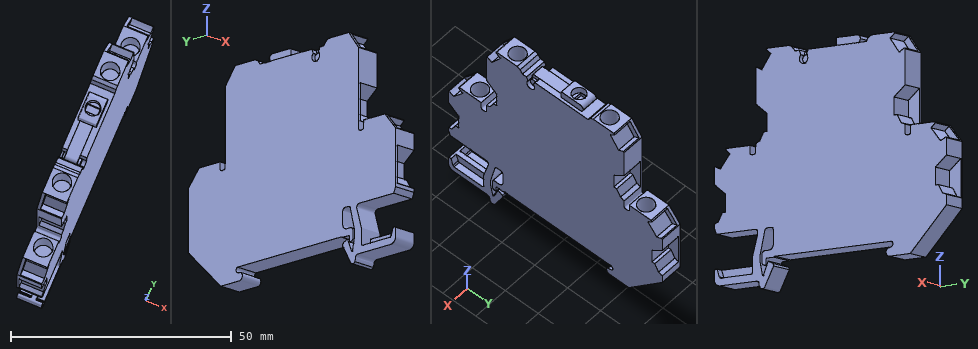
import cadquery as cq
WIDTH = 6.1
SIDE = WIDTH / 2
LENGTH = 65.0
END = LENGTH / 2
TOP_Z = 55.25
DECK_Z = 53.8
SHELF_Z = 33.4
BELLY_Z = 13.9
RAIL_Z = 7.15

UPPER_END = 20.9
UPPER_RUN = 3.1
UPPER_DROP = 4.3
LOWER_RUN = 3.4
LOWER_DROP = 4.1
SLOT_WIDTH = 1.55
SLOT_FLOOR_Z = 31.2
SLOT_RADIUS = 0.45
DECK_TOP_END = 11.6
DECK_FLANK = (10.65, 54.8)
DECK_END = 9.95

SCREW_HOLE_DIA = 4.35
SCREW_HOLE_DEPTH = 7.8
UPPER_HOLE_Y, UPPER_HOLE_X = 14.0, 0.2
LOWER_HOLE_Y, LOWER_HOLE_X = 25.2, 0.4

MARKER_WALL = 0.85
MARKER_BROW = 0.3
MARKER_INNER_DROP = 1.35
MARKER_DEPTH = 2.1
MARKER_TROUGH = 1.7
MARKER_LIP_RISE = 0.45
MARKER_LIP_INNER = 1.05
MARKER_LIP_EDGE = 0.2

ENTRY_WALL = 0.6
ENTRY_DEPTH = 3.1
UPPER_ENTRY_Z = 42.7
LOWER_ENTRY_Z = 25.35
ENTRY_ROOF = 2.5
ENTRY_BACK = 4.1
ENTRY_RAMP = 2.0
ENTRY_SILL = 0.45
ENTRY_LEDGE = 0.85
ENTRY_SILL_RUN = 1.1

POST_OUTER_Y = -21.8
TRAY_FLOOR_Z = 3.7
TRAY_TOP_Z = 5.9
TRAY_BOTTOM_Z = 1.95
TRAY_CORNER_RADIUS = 1.55
TRAY_LIP_Y = -31.65
TRAY_RIB = 1.3
ROOT_OVERLAP = 0.65

PIVOT_Y, PIVOT_Z = -7.5, 51.8
PIN_RADIUS = 1.0
PIN_LENGTH = 4.4
SOCKET_RADIUS = 1.2
THROAT_HALF = 0.8
THROAT_Z = PIVOT_Z + 0.9
MOUTH_HALF = 1.25
BAR_WIDTH = 3.2
LEVER_X = -0.1
BAR_BOTTOM_Z = PIVOT_Z - PIN_RADIUS
BAR_NOSE_Y = -8.45
BAR_NOSE_RADIUS = 0.85
BAR_TAIL_Y = 7.35
KNOB_WIDTH = 4.55
KNOB_TOP_Z = 55.85
KNOB_FRONT_Y = 1.05
KNOB_BACK_Y = 7.85
KNOB_EDGE_RADIUS = 0.3
KNOB_HOLE_Y = 4.5
KNOB_HOLE_DIA = 3.6
NOTCH_LENGTH = 1.8
NOTCH_DEPTH = 1.0


def across(outline, x_start=-SIDE, x_end=SIDE):
    """Extrude a closed YZ outline from x_start to x_end."""
    return outline.extrude(x_end - x_start).translate((x_start, 0, 0))


def yz(y, z):
    """Start an outline in the YZ plane."""
    return cq.Workplane("YZ").moveTo(y, z)


def block_side(side):
    """Points of one stepped end, from the deck out to the lower corner."""
    points = [
        (DECK_END, DECK_Z),
        DECK_FLANK,
        (DECK_TOP_END, TOP_Z),
        (UPPER_END - UPPER_RUN, TOP_Z),
        (UPPER_END, TOP_Z - UPPER_DROP),
        (UPPER_END, SLOT_FLOOR_Z),
        (UPPER_END + SLOT_WIDTH, SLOT_FLOOR_Z),
        (UPPER_END + SLOT_WIDTH, SHELF_Z),
        (END - LOWER_RUN, SHELF_Z),
        (END, SHELF_Z - LOWER_DROP),
    ]
    return [(side * y, z) for y, z in points]


def terminal_block():
    """Stepped upper part, down to the underside of the lower terminals."""
    right = block_side(-1)
    left = block_side(1)
    corner = [(-END, 15.35), (-31.9, BELLY_Z), (END, BELLY_Z)]
    outline = cq.Workplane("YZ").polyline(right + corner + left[::-1]).close()
    block = across(outline)
    for side in (-1, 1):
        slot_y = side * (UPPER_END + SLOT_WIDTH / 2)
        slot_floor = cq.selectors.BoxSelector(
            (-WIDTH, slot_y - SLOT_WIDTH, SLOT_FLOOR_Z - SLOT_RADIUS),
            (WIDTH, slot_y + SLOT_WIDTH, SLOT_FLOOR_Z + SLOT_RADIUS),
        )
        block = block.edges("|X").edges(slot_floor).fillet(SLOT_RADIUS)
    return block


def rail_base():
    """Lower part with the fixed rail hook (+Y) and the claw that faces the clip (-Y)."""
    outline = (
        yz(END, BELLY_Z)
        .lineTo(22.35, 3.8)
        .lineTo(16.4, 3.8)
        .threePointArc((15.55, 4.8), (16.1, 5.7))
        .lineTo(17.0, 5.85)
        .threePointArc((17.5, 6.45), (17.0, RAIL_Z))
        .lineTo(-15.5, RAIL_Z)
        .lineTo(-15.8, 6.95)
        .lineTo(-17.7, 6.95)
        .threePointArc((-17.9, 6.9), (-18.0, 6.6))
        .lineTo(-18.0, 5.4)
        .lineTo(-18.4, 5.4)
        .threePointArc((-18.9, 5.6), (-19.1, 6.1))
        .lineTo(-19.1, 8.05)
        .threePointArc((-18.85, 8.5), (-18.25, 8.7))
        .lineTo(-17.3, 8.7)
        .threePointArc((-16.4, 9.05), (-15.9, 9.9))
        .lineTo(-15.9, 13.05)
        .threePointArc((-16.1, 13.65), (-16.7, BELLY_Z))
        .lineTo(-16.7, BELLY_Z + ROOT_OVERLAP)
        .lineTo(END, BELLY_Z + ROOT_OVERLAP)
        .close()
    )
    return across(outline)


def clip_foot():
    """Springy post with the catch arm on its inner side and the release tray outside."""
    outline = (
        yz(-17.6, BELLY_Z)
        .threePointArc((-18.15, 13.65), (-18.4, 13.05))
        .lineTo(-19.6, 7.9)
        .lineTo(-19.6, 6.25)
        .lineTo(-19.0, 3.05)
        .lineTo(-18.7, 3.05)
        .lineTo(-17.4, 6.25)
        .lineTo(-16.0, 5.5)
        .lineTo(-15.85, 4.95)
        .lineTo(-18.3, 0.4)
        .threePointArc((-19.05, 0), (-19.75, 0.3))
        .lineTo(-19.95, 1.1)
        .threePointArc((-20.15, 1.7), (-20.75, TRAY_BOTTOM_Z))
        .lineTo(-30.95, TRAY_BOTTOM_Z)
        .radiusArc((-END, TRAY_BOTTOM_Z + TRAY_CORNER_RADIUS), TRAY_CORNER_RADIUS)
        .lineTo(-END, 5.4)
        .threePointArc((-32.4, 5.8), (-32.0, TRAY_TOP_Z))
        .lineTo(TRAY_LIP_Y, TRAY_TOP_Z)
        .lineTo(-31.1, 4.0)
        .lineTo(-30.75, TRAY_FLOOR_Z)
        .lineTo(-22.2, TRAY_FLOOR_Z)
        .threePointArc((-21.9, 3.85), (POST_OUTER_Y, 4.15))
        .lineTo(POST_OUTER_Y, 7.9)
        .lineTo(-20.35, 12.9)
        .threePointArc((-20.5, 13.6), (-21.1, BELLY_Z))
        .lineTo(-21.1, BELLY_Z + ROOT_OVERLAP)
        .lineTo(-17.6, BELLY_Z + ROOT_OVERLAP)
        .close()
    )
    rib = (
        yz(POST_OUTER_Y, TRAY_TOP_Z)
        .lineTo(TRAY_LIP_Y, TRAY_TOP_Z)
        .lineTo(-30.75, TRAY_BOTTOM_Z)
        .lineTo(POST_OUTER_Y, TRAY_BOTTOM_Z)
        .close()
    )
    return across(outline).union(across(rib, 0, TRAY_RIB))


def marker_recess(side, end, top_z, run, drop):
    """Sloped recess behind a terminal chamfer, open towards +X."""
    slope = run / drop
    corner = end - run
    brow = (corner + MARKER_BROW * slope, top_z - MARKER_BROW)
    inner = (corner + MARKER_INNER_DROP * slope - MARKER_DEPTH, top_z - MARKER_INNER_DROP)
    trough_y = end - MARKER_TROUGH
    trough_z = inner[1] - (trough_y - inner[0]) / slope
    lip_z = top_z - drop + MARKER_LIP_EDGE / slope
    points = [
        brow,
        inner,
        (trough_y, trough_z),
        (end - MARKER_LIP_INNER, lip_z - MARKER_LIP_RISE),
        (end - MARKER_LIP_EDGE, lip_z),
        (end, lip_z),
        (end, top_z - MARKER_BROW),
    ]
    outline = cq.Workplane("YZ").polyline([(side * y, z) for y, z in points]).close()
    return across(outline, MARKER_WALL - SIDE)


def wire_entry(side, end, top_z):
    """Funnel-shaped recess in an end face, open towards +X."""
    back = end - ENTRY_DEPTH
    back_top = top_z - ENTRY_ROOF
    ledge_z = back_top - ENTRY_BACK
    ramp_z = ledge_z - ENTRY_RAMP
    points = [
        (end, top_z),
        (back, back_top),
        (back, ledge_z),
        (back + ENTRY_LEDGE, ledge_z),
        (end - ENTRY_SILL_RUN, ramp_z),
        (end, ramp_z - ENTRY_SILL),
    ]
    outline = cq.Workplane("YZ").polyline([(side * y, z) for y, z in points]).close()
    return across(outline, ENTRY_WALL - SIDE)


def screw_hole(x, y, top_z):
    """Blind screw hole going down from a terminal top."""
    hole = cq.Workplane("XY").circle(SCREW_HOLE_DIA / 2).extrude(-SCREW_HOLE_DEPTH)
    return hole.translate((x, y, top_z))


def pivot_socket():
    """Round snap-in socket with a flared mouth, right across the housing."""
    bore = across(cq.Workplane("YZ").center(PIVOT_Y, PIVOT_Z).circle(SOCKET_RADIUS))
    mouth = across(
        yz(PIVOT_Y - MOUTH_HALF, DECK_Z)
        .lineTo(PIVOT_Y - THROAT_HALF, THROAT_Z)
        .lineTo(PIVOT_Y - THROAT_HALF, PIVOT_Z)
        .lineTo(PIVOT_Y + THROAT_HALF, PIVOT_Z)
        .lineTo(PIVOT_Y + THROAT_HALF, THROAT_Z)
        .lineTo(PIVOT_Y + MOUTH_HALF, DECK_Z)
        .close()
    )
    return bore.union(mouth)


def bar_blank():
    """Rectangular space that the lever bar fills, flush with the deck."""
    bar = cq.Workplane("XY").box(
        BAR_WIDTH, BAR_TAIL_Y - BAR_NOSE_Y, DECK_Z - BAR_BOTTOM_Z, centered=(True, False, False)
    )
    return bar.translate((LEVER_X, BAR_NOSE_Y, BAR_BOTTOM_Z))


def make_housing():
    """Terminal housing with its rail base, clip foot, recesses and lever seat."""
    housing = terminal_block().union(rail_base()).union(clip_foot())
    for side in (-1, 1):
        housing = housing.cut(marker_recess(side, UPPER_END, TOP_Z, UPPER_RUN, UPPER_DROP))
        housing = housing.cut(marker_recess(side, END, SHELF_Z, LOWER_RUN, LOWER_DROP))
        housing = housing.cut(wire_entry(side, UPPER_END, UPPER_ENTRY_Z))
        housing = housing.cut(wire_entry(side, END, LOWER_ENTRY_Z))
        housing = housing.cut(screw_hole(UPPER_HOLE_X, side * UPPER_HOLE_Y, TOP_Z))
        housing = housing.cut(screw_hole(LOWER_HOLE_X, side * LOWER_HOLE_Y, SHELF_Z))
    return housing.cut(pivot_socket()).cut(bar_blank())


def make_lever():
    """Marker lever: flush bar, pivot pin at its nose and a raised knob at its tail."""
    bar = bar_blank().edges("|X and >Z and <Y").fillet(BAR_NOSE_RADIUS)
    pin = across(
        cq.Workplane("YZ").center(PIVOT_Y, PIVOT_Z).circle(PIN_RADIUS),
        LEVER_X - PIN_LENGTH / 2,
        LEVER_X + PIN_LENGTH / 2,
    )
    knob = across(
        yz(KNOB_FRONT_Y, DECK_Z)
        .lineTo(KNOB_FRONT_Y, KNOB_TOP_Z - KNOB_EDGE_RADIUS)
        .radiusArc((KNOB_FRONT_Y + KNOB_EDGE_RADIUS, KNOB_TOP_Z), KNOB_EDGE_RADIUS)
        .lineTo(6.7, KNOB_TOP_Z)
        .threePointArc((7.55, 55.5), (KNOB_BACK_Y, 54.8))
        .lineTo(BAR_TAIL_Y, DECK_Z)
        .close(),
        -KNOB_WIDTH / 2,
        KNOB_WIDTH / 2,
    )
    hole = (
        cq.Workplane("XY", origin=(0, KNOB_HOLE_Y, DECK_Z))
        .circle(KNOB_HOLE_DIA / 2)
        .extrude(KNOB_TOP_Z - DECK_Z)
    )
    notch = cq.Workplane("XY").box(
        BAR_WIDTH, NOTCH_LENGTH, NOTCH_DEPTH, centered=(True, True, False)
    ).translate((LEVER_X, KNOB_HOLE_Y, DECK_Z - NOTCH_DEPTH))
    return bar.union(pin).union(knob).cut(hole).cut(notch)


housing = make_housing()
lever = make_lever()
result = cq.Compound.makeCompound([housing.val(), lever.val()])